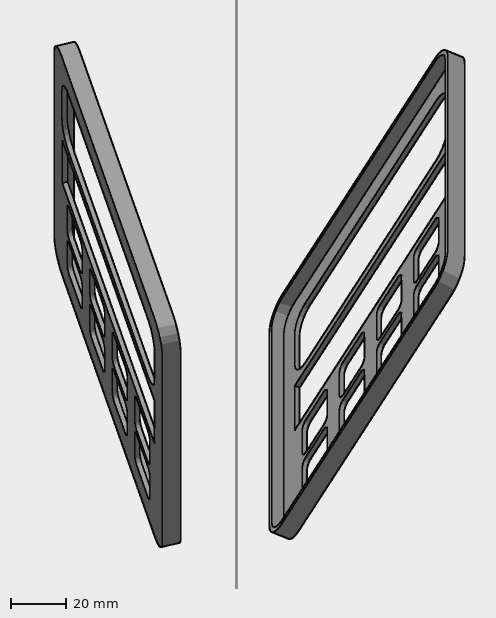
import cadquery as cq

panel_width = 141.29
panel_height = 136.71
panel_depth = 6.97
panel_corner_radius = 10.4
wall_thickness = 2.0

display_width = 120.4
display_height = 35.5
display_corner_radius = 8.5
display_center_x = -0.15
display_center_z = 38.4

label_width = 120.0
label_height = 26.5
label_center_x = 0.1
label_center_z = 3.2

key_width = 19.7
key_corner_radius = 3.0
key_column_count = 4
key_column_pitch = 29.4
key_columns_center_x = 0.15
upper_key_height = 19.6
upper_key_center_z = -23.8
lower_key_height = 19.2
lower_key_center_z = -46.0


def block(width, height, corner_radius=0.0):
    """Block as deep as the panel, with its Y-parallel edges rounded."""
    body = cq.Workplane("XY").box(width, panel_depth, height)
    if corner_radius > 0:
        body = body.edges("|Y").fillet(corner_radius)
    return body


def rear_recess():
    """Hollow behind the face, leaving a rim of even thickness around the panel."""
    recess = block(
        panel_width - 2 * wall_thickness,
        panel_height - 2 * wall_thickness,
        panel_corner_radius - wall_thickness,
    )
    return recess.translate((0, wall_thickness, 0))


def cut_key_row(body, key_height, row_center_z):
    """Cut one row of evenly spaced key openings through the body."""
    key = block(key_width, key_height, key_corner_radius)
    first_column_x = key_columns_center_x - key_column_pitch * (key_column_count - 1) / 2
    for column in range(key_column_count):
        column_x = first_column_x + column * key_column_pitch
        body = body.cut(key.translate((column_x, 0, row_center_z)))
    return body


panel = block(panel_width, panel_height, panel_corner_radius)
panel = panel.cut(rear_recess())

display_window = block(display_width, display_height, display_corner_radius)
panel = panel.cut(display_window.translate((display_center_x, 0, display_center_z)))

label_window = block(label_width, label_height)
panel = panel.cut(label_window.translate((label_center_x, 0, label_center_z)))

panel = cut_key_row(panel, upper_key_height, upper_key_center_z)
panel = cut_key_row(panel, lower_key_height, lower_key_center_z)

result = panel